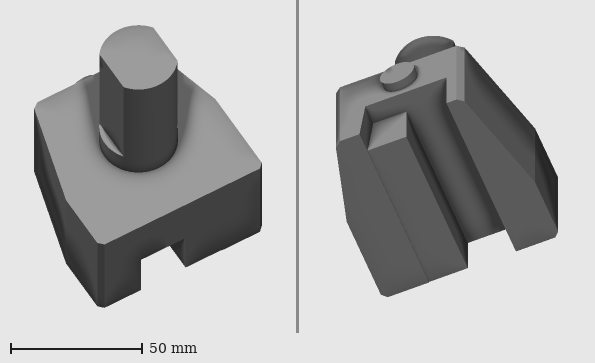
import cadquery as cq
import math

body_length = 70.0
body_height = 42.0
body_left_y = 35.0
body_right_y = -38.0
nose_half_width = 26.0
taper_angle = 15.0
corner_chamfer = 2.0

shank_diameter = 30.0
shank_length = 55.0
flat_start_height = 9.0
flat_spacing = 24.0

pin_diameter = 14.0
pin_projection = 3.85
pin_y = -1.0
pin_depth_below_top = 12.0

channel_height = 20.0
channel_right_y = -19.8
channel_left_top_y = 13.6
channel_left_bottom_y = 16.0
block_right_y = 0.0
block_setback = 8.0
block_bottom_clearance = 0.4

front_x = -body_length / 2
rear_x = body_length / 2
bottom_z = -body_height
channel_top_z = bottom_z + channel_height


def taper_start_x(side_y):
    """X where a parallel side begins to taper towards the nose."""
    return front_x + (abs(side_y) - nose_half_width) / math.tan(math.radians(taper_angle))


def make_body():
    outline = [
        (front_x, -nose_half_width),
        (taper_start_x(body_right_y), body_right_y),
        (rear_x, body_right_y),
        (rear_x, body_left_y),
        (taper_start_x(body_left_y), body_left_y),
        (front_x, nose_half_width),
    ]
    body = cq.Workplane("XY").workplane(offset=bottom_z).polyline(outline).close().extrude(body_height)
    for face in ("<X", ">X"):
        body = body.faces(face).edges("|Z").chamfer(corner_chamfer)
    return body


def left_side_y(z):
    """Y of the leaning channel side at height z."""
    lean = (channel_left_bottom_y - channel_left_top_y) / channel_height
    return channel_left_top_y + lean * (channel_top_z - z)


def make_channel_prism(start_x, right_y, floor_z):
    """Prism under the channel roof, from start_x to the rear face."""
    section = [
        (right_y, floor_z),
        (left_side_y(floor_z), floor_z),
        (left_side_y(channel_top_z), channel_top_z),
        (right_y, channel_top_z),
    ]
    return cq.Workplane("YZ").workplane(offset=start_x).polyline(section).close().extrude(rear_x - start_x)


def make_shank():
    shank = cq.Workplane("XY").circle(shank_diameter / 2).extrude(shank_length)
    waste_depth = (shank_diameter - flat_spacing) / 2
    waste_center_y = (flat_spacing + waste_depth) / 2
    waste = (
        cq.Workplane("XY")
        .workplane(offset=flat_start_height)
        .pushPoints([(0, -waste_center_y), (0, waste_center_y)])
        .rect(shank_diameter, waste_depth)
        .extrude(shank_length - flat_start_height)
    )
    return shank.cut(waste)


def make_pin():
    return (
        cq.Workplane("YZ")
        .workplane(offset=front_x)
        .center(pin_y, -pin_depth_below_top)
        .circle(pin_diameter / 2)
        .extrude(-pin_projection)
    )


channel = make_channel_prism(front_x, channel_right_y, bottom_z)
block = make_channel_prism(front_x + block_setback, block_right_y, bottom_z + block_bottom_clearance)

result = make_body().cut(channel).union(block).union(make_shank()).union(make_pin())